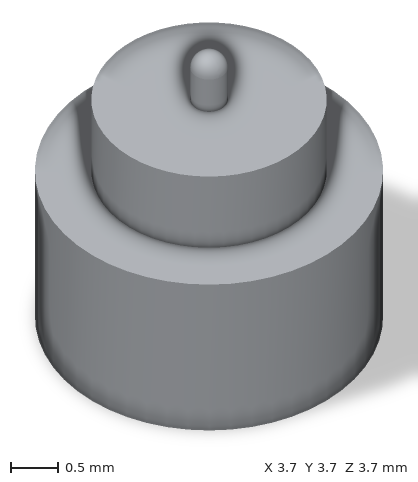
import cadquery as cq

total_height = 3.7
base_diameter = 3.7
base_height = 2.05
collar_diameter = 2.5
collar_height = 1.0
pin_diameter = 0.4

pin_radius = pin_diameter / 2
collar_top = base_height + collar_height
pin_straight_height = total_height - collar_top - pin_radius


def cylinder(diameter, height, bottom):
    """Upright cylinder on the Z axis, standing at the given level."""
    return cq.Workplane("XY").workplane(offset=bottom).circle(diameter / 2).extrude(height)


base = cylinder(base_diameter, base_height, 0)
collar = cylinder(collar_diameter, collar_height, base_height)


def round_ended_pin():
    """Central contact pin whose tip is a full hemisphere."""
    dome_center = collar_top + pin_straight_height
    shank = cylinder(pin_diameter, pin_straight_height, collar_top)
    dome = cq.Workplane("XY").sphere(pin_radius).translate((0, 0, dome_center))
    return shank.union(dome)


result = base.union(collar).union(round_ended_pin())